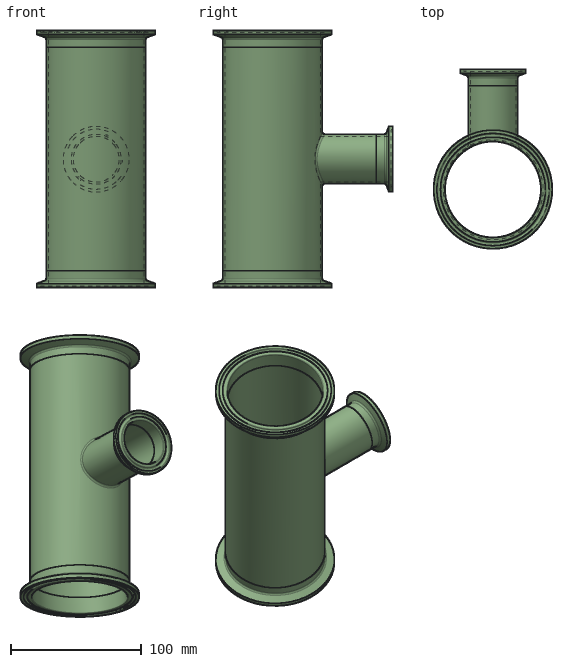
import cadquery as cq
import math

total_height = 196.8
branch_reach = 92.1
main_radius = 38.2
branch_radius = 19.0
wall = 1.5

main_flange_radius = 45.5
branch_flange_radius = 25.2
ferrule_length = 12.8
rim_thickness = 3.1
cone_angle = math.radians(20)
neck_fillet = 1.5
groove_half_width = 1.4
groove_depth = 1.5
groove_lip_fillet = 0.4
bore_edge_fillet = 0.4
main_groove_radius = 41.5
branch_groove_radius = 21.6

junction_fillet = 1.5

half_height = total_height / 2
tube_half_length = half_height - ferrule_length
branch_tube_end = branch_reach - ferrule_length


def make_ferrule(tube_radius, flange_radius, groove_radius):
    """Clamp ferrule on the Z axis: sealing face at Z = 0, neck toward -Z."""
    bore_radius = tube_radius - wall
    cone_drop = (flange_radius - tube_radius) * math.tan(cone_angle)
    profile = (
        cq.Workplane("XZ")
        .moveTo(bore_radius, 0)
        .lineTo(flange_radius, 0)
        .lineTo(flange_radius, -rim_thickness)
        .lineTo(tube_radius, -rim_thickness - cone_drop)
        .lineTo(tube_radius, -ferrule_length)
        .lineTo(bore_radius, -ferrule_length)
        .close()
    )
    body = profile.revolve(360, (0, 0, 0), (0, 1, 0))

    neck_corner = cq.selectors.NearestToPointSelector((0, 0, -rim_thickness - cone_drop))
    body = body.edges("%CIRCLE").edges(neck_corner).fillet(neck_fillet)

    groove = (
        cq.Workplane("XZ")
        .moveTo(groove_radius - groove_half_width, 0)
        .threePointArc((groove_radius, -groove_depth), (groove_radius + groove_half_width, 0))
        .close()
        .revolve(360, (0, 0, 0), (0, 1, 0))
    )
    body = body.cut(groove)
    inner_lip = cq.selectors.RadiusNthSelector(1)
    outer_lip = cq.selectors.RadiusNthSelector(2)
    body = body.faces(">Z").edges(inner_lip + outer_lip).fillet(groove_lip_fillet)

    return body.faces(">Z").edges(cq.selectors.RadiusNthSelector(0)).fillet(bore_edge_fillet)


def make_tee():
    """Main tube with the side branch, hollow throughout."""
    main = cq.Workplane("XY").circle(main_radius).extrude(tube_half_length, both=True)
    branch = cq.Workplane("XZ").circle(branch_radius).extrude(-branch_tube_end)
    outer = main.union(branch)

    outer = outer.edges("not(%LINE or %CIRCLE)").fillet(junction_fillet)

    main_bore = cq.Workplane("XY").circle(main_radius - wall).extrude(tube_half_length, both=True)
    branch_bore = cq.Workplane("XZ").circle(branch_radius - wall).extrude(-branch_tube_end)
    return outer.cut(main_bore).cut(branch_bore)


tee = make_tee()

main_ferrules = []
for turn in (0, 180):
    ferrule = make_ferrule(main_radius, main_flange_radius, main_groove_radius)
    ferrule = ferrule.translate((0, 0, half_height)).rotate((0, 0, 0), (1, 0, 0), turn)
    main_ferrules.append(ferrule.val())

branch_ferrule = (
    make_ferrule(branch_radius, branch_flange_radius, branch_groove_radius)
    .translate((0, 0, branch_reach))
    .rotate((0, 0, 0), (1, 0, 0), -90)
)

result = cq.Compound.makeCompound([tee.val(), *main_ferrules, branch_ferrule.val()])